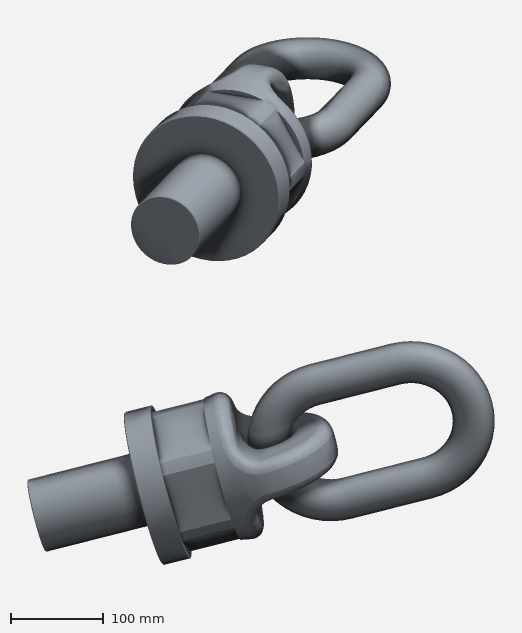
import cadquery as cq
import math


SHANK_DIAMETER = 80.0
SHANK_LENGTH = 120.0
FLANGE_DIAMETER = 170.0
FLANGE_THICKNESS = 30.0
EDGE_CHAMFER = 1.0
HEX_ACROSS_FLATS = 145.0
HEX_CORNER_DIAMETER = 160.0
HEX_LENGTH = 58.0
HEX_TOP_Y = FLANGE_THICKNESS + HEX_LENGTH

HEAD_RADIUS = FLANGE_DIAMETER / 2
HEAD_TAPER = math.radians(10)
SPHERE_CENTRE_Y = 129.0
PLATE_THICKNESS = 45.0
DISK_TOP_Y = 115.0
PLATE_ROOT_RADIUS = 22.5
HEAD_ROUNDING = 12.5

EYE_DIAMETER = 49.0
EYE_BOTTOM_GAP = 2.0
EYE_Y = DISK_TOP_Y + EYE_BOTTOM_GAP + EYE_DIAMETER / 2

OVERALL_LENGTH = 508
LINK_BAR_DIAMETER = 45.0
LINK_WIDTH = 180.0
LINK_STRAIGHT = 90.0
LINK_BEND_RADIUS = (LINK_WIDTH - LINK_BAR_DIAMETER) / 2
LINK_END_Y = OVERALL_LENGTH - SHANK_LENGTH
LINK_CENTRE_Y = LINK_END_Y - LINK_WIDTH / 2 - LINK_STRAIGHT / 2


def cylinder_along_y(diameter, start_y, length):
    """Cylinder on the Y axis from start_y toward +Y."""
    return cq.Workplane(cq.Solid.makeCylinder(
        diameter / 2, length, cq.Vector(0, start_y, 0), cq.Vector(0, 1, 0)))


def make_stud():
    """Plain shank, round flange and hexagon with a flat facing +Z."""
    shank = cylinder_along_y(SHANK_DIAMETER, -SHANK_LENGTH, SHANK_LENGTH)
    shank = shank.faces("<Y").chamfer(EDGE_CHAMFER)
    flange = cylinder_along_y(FLANGE_DIAMETER, 0, FLANGE_THICKNESS)
    flange = flange.faces("<Y").chamfer(EDGE_CHAMFER)
    hexagon = (
        cq.Workplane("XZ", origin=(0, HEX_TOP_Y, 0))
        .polygon(6, HEX_ACROSS_FLATS / math.cos(math.pi / 6))
        .extrude(HEX_LENGTH)
    )
    corner_turning = cylinder_along_y(HEX_CORNER_DIAMETER, FLANGE_THICKNESS, HEX_LENGTH)
    return flange.union(hexagon.intersect(corner_turning)).union(shank)


def make_head_blank():
    """Solid of revolution: sphere on the +Y side, tangent cone narrowing toward the stud."""
    tangent_radius = HEAD_RADIUS * math.cos(HEAD_TAPER)
    tangent_y = SPHERE_CENTRE_Y - HEAD_RADIUS * math.sin(HEAD_TAPER)
    base_radius = tangent_radius - (tangent_y - HEX_TOP_Y) * math.tan(HEAD_TAPER)
    arc_middle = HEAD_RADIUS * math.sqrt(0.5)
    return (
        cq.Workplane("YZ")
        .moveTo(HEX_TOP_Y, 0)
        .lineTo(HEX_TOP_Y, -base_radius)
        .lineTo(tangent_y, -tangent_radius)
        .threePointArc(
            (SPHERE_CENTRE_Y + arc_middle, -arc_middle),
            (SPHERE_CENTRE_Y + HEAD_RADIUS, 0),
        )
        .close()
        .revolve(360, (0, 0, 0), (1, 0, 0))
    )


def make_side_cut(side):
    """Material removed beside the plate on the +X (side = 1) or -X (side = -1) side."""
    plate_x = side * PLATE_THICKNESS / 2
    reach_x = side * 2 * HEAD_RADIUS
    root_x = plate_x + side * PLATE_ROOT_RADIUS
    root_y = DISK_TOP_Y + PLATE_ROOT_RADIUS
    top_y = SPHERE_CENTRE_Y + 2 * HEAD_RADIUS
    arc_offset = PLATE_ROOT_RADIUS * math.sqrt(0.5)
    return (
        cq.Workplane("XY", origin=(0, 0, -2 * HEAD_RADIUS))
        .moveTo(plate_x, top_y)
        .lineTo(plate_x, root_y)
        .threePointArc((root_x - side * arc_offset, root_y - arc_offset), (root_x, DISK_TOP_Y))
        .lineTo(reach_x, DISK_TOP_Y)
        .lineTo(reach_x, top_y)
        .close()
        .extrude(4 * HEAD_RADIUS)
    )


def cut_rounded_eye(head):
    """Cut the eye along X through the plate and round both of its rims."""
    eye = (
        cq.Workplane("YZ", origin=(-HEAD_RADIUS, EYE_Y, 0))
        .circle(EYE_DIAMETER / 2)
        .extrude(2 * HEAD_RADIUS)
    )
    box_size = EYE_DIAMETER + EYE_BOTTOM_GAP
    eye_rims = cq.selectors.BoxSelector(
        (-HEAD_RADIUS, EYE_Y - box_size / 2, -box_size / 2),
        (HEAD_RADIUS, EYE_Y + box_size / 2, box_size / 2),
        boundingbox=True,
    )
    return head.cut(eye).edges(eye_rims).edges("not |X").fillet(HEAD_ROUNDING)


def make_head():
    """Eye head with rounded edges around the plate, the disk and the eye."""
    head = make_head_blank()
    for side in (1, -1):
        head = head.cut(make_side_cut(side))
    head = cut_rounded_eye(head)
    for disk_top in (">X", "<X"):
        head = head.faces(disk_top).edges().fillet(HEAD_ROUNDING)
    return head


def make_link():
    """Closed loop of round bar with two straight sides and two half-circle ends."""
    half_straight = LINK_STRAIGHT / 2
    path = (
        cq.Workplane("XY", origin=(0, LINK_CENTRE_Y, 0))
        .moveTo(LINK_BEND_RADIUS, -half_straight)
        .lineTo(LINK_BEND_RADIUS, half_straight)
        .threePointArc((0, half_straight + LINK_BEND_RADIUS), (-LINK_BEND_RADIUS, half_straight))
        .lineTo(-LINK_BEND_RADIUS, -half_straight)
        .threePointArc((0, -half_straight - LINK_BEND_RADIUS), (LINK_BEND_RADIUS, -half_straight))
        .close()
    )
    return (
        cq.Workplane("XZ", origin=(LINK_BEND_RADIUS, LINK_CENTRE_Y - half_straight, 0))
        .circle(LINK_BAR_DIAMETER / 2)
        .sweep(path)
    )


stud = make_stud()
head = make_head()
link = make_link()

result = cq.Compound.makeCompound([stud.val(), head.val(), link.val()])